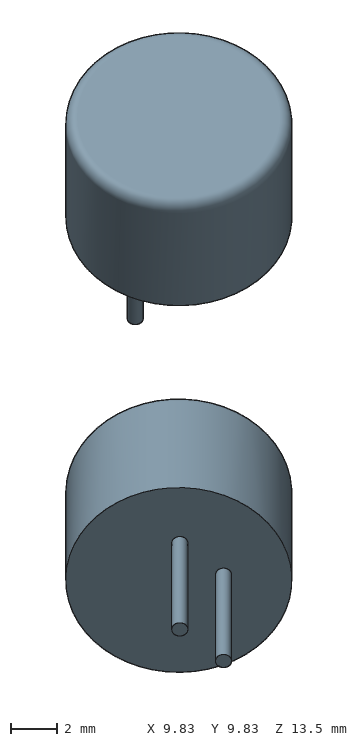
import cadquery as cq

total_height = 13.5
body_diameter = 9.83
body_height = 7.0
rim_radius = 0.5
pin_diameter = 0.7
pin_spacing = 2.54
pin_offset_x = -1.5

pin_length = total_height - body_height


def make_body():
    """Cylindrical can standing on Z = 0, with a rounded top rim."""
    can = cq.Workplane("XY").circle(body_diameter / 2).extrude(body_height)
    return can.faces(">Z").edges().fillet(rim_radius)


def make_pins():
    """Two round leads, placed off-center in X, hanging below the can."""
    positions = [(pin_offset_x, side * pin_spacing / 2) for side in (-1, 1)]
    return cq.Workplane("XY").pushPoints(positions).circle(pin_diameter / 2).extrude(-pin_length)


result = make_body().union(make_pins())